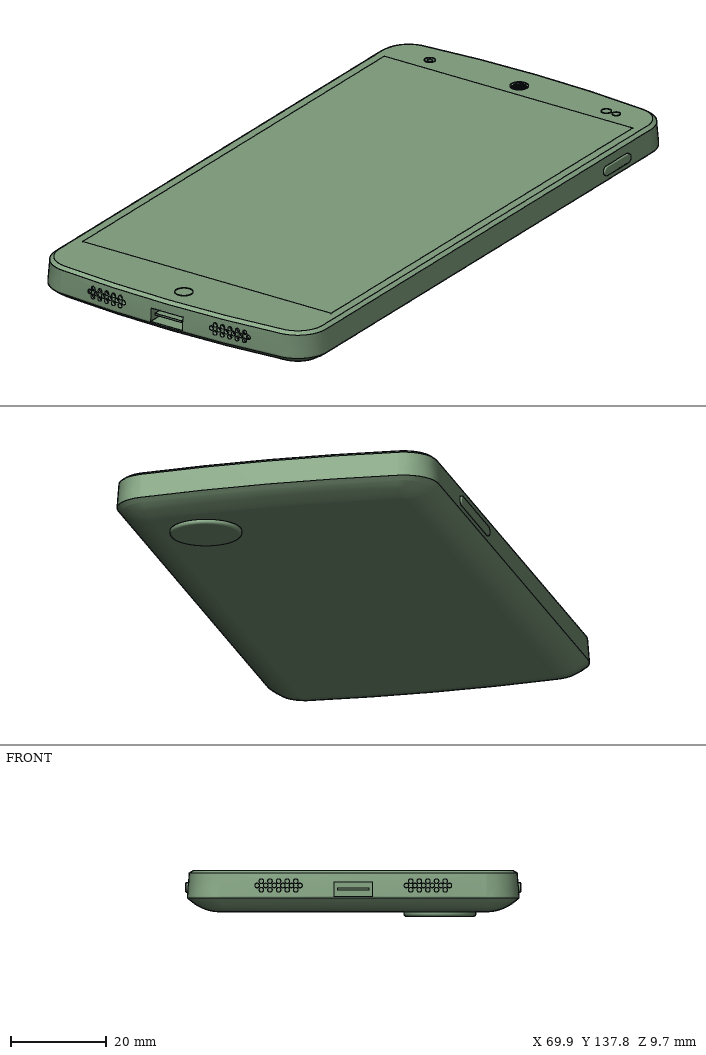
import cadquery as cq
import math

LENGTH = 137.8
WIDTH = 69.2
HEIGHT = 8.7
SEAM_Z = 2.9
RIM_HEIGHT = 0.35

END_BOW = 2.3
CORNER_RADIUS = 7.6
DRAFT = 4.5
TOP_CHAMFER_DROP = 0.62
TOP_CHAMFER_INSET = 0.8

BACK_LEAN = 51.0
BAND_HEIGHT = 0.8

SCREEN_WIDTH = 62.9
SCREEN_LENGTH = 111.2
SCREEN_Y = 1.7
SCREEN_THICKNESS = 0.7

RECESS_DEPTH = 0.1
HOME_DIAMETER = 3.9
HOME_Y = -62.5
DETAIL_Y = 61.2
EARPIECE_DIAMETER = 3.9
EARPIECE_HOLE = 0.4
EARPIECE_DEPTH = 0.7
EARPIECE_PITCH = 0.62
FRONT_CAMERA_X = -22.6
FRONT_CAMERA_DIAMETER = 2.3
FRONT_LENS_DIAMETER = 1.1
LENS_DEPTH = 0.7
SENSORS = [(22.0, 2.2), (24.5, 1.8)]

SPEAKER_X = 15.6
SPEAKER_Z = 5.5
SPEAKER_HOLE = 1.0
SPEAKER_PITCH = 1.8
SPEAKER_ROWS = [5, 6, 5]
SPEAKER_DEPTH = 1.4
PORT_WIDTH = 8.0
PORT_TOP_Z = 6.2
PORT_FLOOR_Z = SEAM_Z + RIM_HEIGHT
PORT_DEPTH = 4.1
TONGUE_WIDTH = 6.6
TONGUE_THICKNESS = 0.4
TONGUE_SETBACK = 0.7
TONGUE_RISE = 1.4

CAMERA_X = 18.0
CAMERA_Y = 51.0
CAMERA_DIAMETER = 15.0
CAMERA_HEIGHT = 1.0
CAMERA_EDGE_RADIUS = 0.5

BUTTON_HEIGHT = 2.0
BUTTON_Z = 5.1
BUTTON_PROUD = 0.35
BUTTON_EDGE_RADIUS = 0.2
BUTTON_SEAT = 1.4
VOLUME_LENGTH = 22.5
VOLUME_Y = 31.0
POWER_LENGTH = 9.6
POWER_Y = 46.9


def seam_outline():
    half_x = WIDTH / 2
    half_y = LENGTH / 2
    corner_y = half_y - END_BOW
    return (
        cq.Workplane("XY")
        .moveTo(-half_x, -corner_y)
        .threePointArc((0, -half_y), (half_x, -corner_y))
        .lineTo(half_x, corner_y)
        .threePointArc((0, half_y), (-half_x, corner_y))
        .close()
    )


def seam_rim():
    rim = seam_outline().extrude(RIM_HEIGHT).edges("|Z").fillet(CORNER_RADIUS)
    return rim.translate((0, 0, SEAM_Z))


def housing_blank():
    """Drafted wall above the rim and curved back below it."""
    rim = seam_rim()

    wall_height = HEIGHT - SEAM_Z - RIM_HEIGHT
    rim_top = rim.faces(">Z").wires().toPending()
    wall = rim_top.extrude(wall_height, combine=False, taper=DRAFT)
    wall = wall.faces(">Z").edges().chamfer(TOP_CHAMFER_DROP, TOP_CHAMFER_INSET)

    turn = math.radians(90 - BACK_LEAN)
    back_radius = (SEAM_Z - BAND_HEIGHT) / (1 - math.cos(turn))
    rim_bottom = rim.faces("<Z").wires().toPending()
    back = rim_bottom.extrude(-SEAM_Z, combine=False, taper=BACK_LEAN)
    back = back.faces("<Z").edges().fillet(back_radius)
    return rim.union(wall).union(back)


def front_disc(x, y, diameter, depth):
    """Cylinder sunk from the front face to the given depth."""
    return cq.Workplane("XY").center(x, y).circle(diameter / 2).extrude(depth).translate((0, 0, HEIGHT - depth))


def earpiece_recess():
    recess = front_disc(0, DETAIL_Y, EARPIECE_DIAMETER, RECESS_DEPTH)
    reach = math.floor(EARPIECE_DIAMETER / 2 / EARPIECE_PITCH)
    steps = range(-reach, reach + 1)
    limit = (EARPIECE_DIAMETER - EARPIECE_HOLE) / 2
    grid = [(i * EARPIECE_PITCH, j * EARPIECE_PITCH) for i in steps for j in steps]
    for x, y in grid:
        if math.hypot(x, y) < limit:
            recess = recess.union(front_disc(x, DETAIL_Y + y, EARPIECE_HOLE, EARPIECE_DEPTH))
    return recess


def front_recesses():
    recesses = front_disc(0, HOME_Y, HOME_DIAMETER, RECESS_DEPTH)
    for x, diameter in SENSORS:
        recesses = recesses.union(front_disc(x, DETAIL_Y, diameter, RECESS_DEPTH))
    camera = front_disc(FRONT_CAMERA_X, DETAIL_Y, FRONT_CAMERA_DIAMETER, RECESS_DEPTH)
    lens = front_disc(FRONT_CAMERA_X, DETAIL_Y, FRONT_LENS_DIAMETER, LENS_DEPTH)
    return recesses.union(camera).union(lens).union(earpiece_recess())


def speaker_holes(center_x):
    """Staggered rows of holes running in from the bowed bottom end."""
    row_spacing = SPEAKER_PITCH / 2
    points = []
    for row, count in enumerate(SPEAKER_ROWS):
        z = SPEAKER_Z + (1 - row) * row_spacing
        first_x = center_x - (count - 1) * SPEAKER_PITCH / 2
        points += [(first_x + i * SPEAKER_PITCH, z) for i in range(count)]
    start_y = -LENGTH / 2
    return (
        cq.Workplane("XZ", origin=(0, start_y, 0))
        .pushPoints(points)
        .circle(SPEAKER_HOLE / 2)
        .extrude(-SPEAKER_DEPTH)
    )


def charging_port():
    """Port pocket, with a thin tongue left standing out from its back wall."""
    height = PORT_TOP_Z - PORT_FLOOR_Z
    start_y = -LENGTH / 2
    pocket = cq.Workplane("XY").box(PORT_WIDTH, PORT_DEPTH, height, centered=(True, False, False))
    tongue = cq.Workplane("XY").box(
        TONGUE_WIDTH, PORT_DEPTH - TONGUE_SETBACK, TONGUE_THICKNESS, centered=(True, False, False)
    )
    pocket = pocket.cut(tongue.translate((0, TONGUE_SETBACK, TONGUE_RISE)))
    return pocket.translate((0, start_y, PORT_FLOOR_Z))


def rear_camera():
    overlap = BAND_HEIGHT
    bump = cq.Workplane("XY", origin=(CAMERA_X, CAMERA_Y, -CAMERA_HEIGHT))
    bump = bump.circle(CAMERA_DIAMETER / 2).extrude(CAMERA_HEIGHT + overlap)
    return bump.faces("<Z").edges().fillet(CAMERA_EDGE_RADIUS)


def make_screen():
    return cq.Workplane("XY").box(SCREEN_WIDTH, SCREEN_LENGTH, SCREEN_THICKNESS).translate(
        (0, SCREEN_Y, HEIGHT - SCREEN_THICKNESS / 2)
    )


def make_button(side, center_y, length):
    """Round-ended key on the -X side (side = -1) or the +X side (side = 1)."""
    inner_x = WIDTH / 2 - BUTTON_SEAT
    button = (
        cq.Workplane("YZ", origin=(side * inner_x, center_y, BUTTON_Z))
        .slot2D(length, BUTTON_HEIGHT)
        .extrude(side * (BUTTON_SEAT + BUTTON_PROUD))
    )
    outer_face = ">X" if side > 0 else "<X"
    return button.faces(outer_face).edges().fillet(BUTTON_EDGE_RADIUS)


def make_housing(seated_bodies):
    housing = housing_blank().union(rear_camera())
    housing = housing.cut(front_recesses()).cut(charging_port())
    for side in (-1, 1):
        housing = housing.cut(speaker_holes(side * SPEAKER_X))
    for body in seated_bodies:
        housing = housing.cut(body)
    return housing


screen = make_screen()
volume_button = make_button(-1, VOLUME_Y, VOLUME_LENGTH)
power_button = make_button(1, POWER_Y, POWER_LENGTH)
housing = make_housing([screen, volume_button, power_button])

result = cq.Compound.makeCompound([housing.val(), screen.val(), volume_button.val(), power_button.val()])